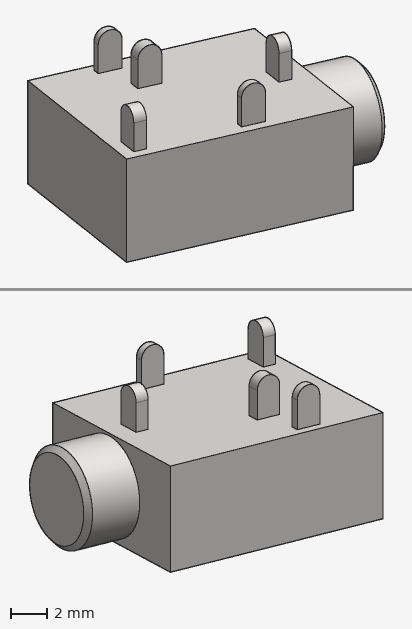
import cadquery as cq

TURN = -20.0

HOUSING_WIDTH = 11.5
HOUSING_LENGTH = 14.2
HOUSING_HEIGHT = 6.3
BARREL_FROM_LEFT = 6.0

BARREL_DIAMETER = 6.0
BARREL_LENGTH = 3.5
BARREL_CHAMFER = 0.35

PIN_WIDTH = 1.5
PIN_HEIGHT = 2.5
THICK_BLADE = 0.8
THIN_BLADE = 0.5

FACING_BARREL = 0
FACING_SIDES = 90
PINS = [
    (0.0, 1.7, THICK_BLADE, FACING_BARREL),
    (4.1, 13.0, THICK_BLADE, FACING_BARREL),
    (-5.2, 9.6, THIN_BLADE, FACING_SIDES),
    (-2.6, 8.6, THICK_BLADE, FACING_SIDES),
    (4.6, 5.9, THIN_BLADE, FACING_SIDES),
]


def turned(body):
    """Turn a body about Z into its final direction."""
    return body.rotate((0, 0, 0), (0, 0, 1), TURN)


def make_housing():
    """Rectangular block with a chamfered barrel on its +Y face."""
    block = cq.Workplane("XY").box(
        HOUSING_WIDTH, HOUSING_LENGTH, HOUSING_HEIGHT, centered=False
    )
    block = block.translate((-BARREL_FROM_LEFT, -HOUSING_LENGTH, 0))
    barrel = (
        cq.Workplane("XZ", origin=(0, 0, HOUSING_HEIGHT / 2))
        .circle(BARREL_DIAMETER / 2)
        .extrude(-BARREL_LENGTH)
        .faces(">Y")
        .chamfer(BARREL_CHAMFER)
    )
    return turned(block.union(barrel))


def make_pin(across, behind, thickness, facing):
    """Blade standing on the housing top, rounded over its full width at the tip."""
    half_width = PIN_WIDTH / 2
    shoulder = PIN_HEIGHT - half_width
    blade = (
        cq.Workplane("XZ")
        .moveTo(-half_width, 0)
        .lineTo(half_width, 0)
        .lineTo(half_width, shoulder)
        .threePointArc((0, PIN_HEIGHT), (-half_width, shoulder))
        .close()
        .extrude(thickness / 2, both=True)
    )
    blade = blade.rotate((0, 0, 0), (0, 0, 1), facing)
    return turned(blade.translate((across, -behind, HOUSING_HEIGHT)))


housing = make_housing()
pins = [make_pin(*placement) for placement in PINS]

result = cq.Compound.makeCompound([housing.val(), *[pin.val() for pin in pins]])